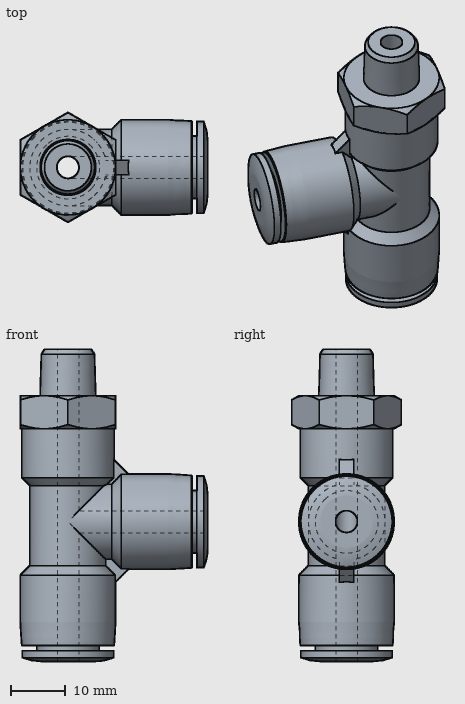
import cadquery as cq
import math

neck_diameter = 14.0
bore_diameter = 4.0

leg_diameter = 17.5
leg_rim_diameter = 17.0
leg_start = 9.8
leg_taper_start = 18.4
leg_rim_start = 21.35
leg_end = 22.75
leg_edge_chamfer = 0.2
leg_length = 25.6
release_neck_diameter = 11.5
release_diameter = 16.8
release_start = 23.6
release_rim_end = 24.9
release_face_diameter = 9.55

collar_diameter = 17.0
collar_bottom = 8.05
hex_corners = 20.15
hex_flats = hex_corners * math.cos(math.pi / 6)
hex_bottom = 17.0
hex_top = 23.05
hex_chamfer_angle = math.radians(30)
stem_base_diameter = 10.25
stem_tip_diameter = 9.8
stem_chamfer_height = 0.9
stem_face_diameter = 8.6
stem_top = 57.2 - leg_length

web_thickness = 2.65
web_reach = 19.8


def push_in_leg():
    """Leg from the crossing upward along +Z, revolved about Z."""
    neck_radius = neck_diameter / 2
    leg_radius = leg_diameter / 2
    rim_radius = leg_rim_diameter / 2
    release_radius = release_diameter / 2
    face_radius = release_face_diameter / 2
    dome_width = release_radius - face_radius
    dome_height = leg_length - release_rim_end
    dome_radius = (dome_width**2 + dome_height**2) / (2 * dome_height)
    half_angle = math.asin(dome_width / dome_radius) / 2
    dome_middle = (
        face_radius + dome_radius * math.sin(half_angle),
        leg_length - dome_radius * (1 - math.cos(half_angle)),
    )
    return (
        cq.Workplane("XZ")
        .lineTo(neck_radius, 0)
        .lineTo(neck_radius, leg_start - (leg_radius - neck_radius))
        .lineTo(leg_radius, leg_start)
        .lineTo(leg_radius, leg_taper_start)
        .lineTo(rim_radius + leg_edge_chamfer / 2, leg_rim_start)
        .lineTo(rim_radius, leg_end - leg_edge_chamfer)
        .lineTo(rim_radius - leg_edge_chamfer, leg_end)
        .lineTo(release_neck_diameter / 2, leg_end)
        .lineTo(release_neck_diameter / 2, release_start)
        .lineTo(release_radius, release_start)
        .lineTo(release_radius, release_rim_end)
        .threePointArc(dome_middle, (face_radius, leg_length))
        .lineTo(0, leg_length)
        .close()
        .revolve(360, (0, 0, 0), (0, 1, 0))
    )


def upper_run():
    """Neck, collar and tapered stem, revolved about Z."""
    neck_radius = neck_diameter / 2
    collar_radius = collar_diameter / 2
    return (
        cq.Workplane("XZ")
        .lineTo(neck_radius, 0)
        .lineTo(neck_radius, collar_bottom - (collar_radius - neck_radius))
        .lineTo(collar_radius, collar_bottom)
        .lineTo(collar_radius, hex_top)
        .lineTo(stem_base_diameter / 2, hex_top)
        .lineTo(stem_tip_diameter / 2, stem_top - stem_chamfer_height)
        .lineTo(stem_face_diameter / 2, stem_top)
        .lineTo(0, stem_top)
        .close()
        .revolve(360, (0, 0, 0), (0, 1, 0))
    )


def hexagon():
    """Hexagon with corners on Y, its corners chamfered at both ends."""
    flat_radius = hex_flats / 2
    corner_radius = hex_corners / 2
    corner_drop = (corner_radius - flat_radius) * math.tan(hex_chamfer_angle)
    prism = (
        cq.Workplane("XY", origin=(0, 0, hex_bottom))
        .polygon(6, hex_corners)
        .extrude(hex_top - hex_bottom)
        .rotate((0, 0, 0), (0, 0, 1), 30)
    )
    envelope = (
        cq.Workplane("XZ")
        .moveTo(0, hex_bottom)
        .lineTo(flat_radius, hex_bottom)
        .lineTo(corner_radius, hex_bottom + corner_drop)
        .lineTo(corner_radius, hex_top - corner_drop)
        .lineTo(flat_radius, hex_top)
        .lineTo(0, hex_top)
        .close()
        .revolve(360, (0, 0, 0), (0, 1, 0))
    )
    return prism.intersect(envelope)


def webs():
    return (
        cq.Workplane("XZ")
        .polyline([(0, -web_reach), (web_reach, 0), (0, web_reach)])
        .close()
        .extrude(web_thickness / 2, both=True)
    )


lower_leg = push_in_leg().rotate((0, 0, 0), (1, 0, 0), 180)
branch_leg = push_in_leg().rotate((0, 0, 0), (0, 1, 0), 90)
body = upper_run().union(lower_leg).union(branch_leg).union(hexagon()).union(webs())

bore_radius = bore_diameter / 2
run_bore = cq.Workplane("XY", origin=(0, 0, -leg_length)).circle(bore_radius).extrude(leg_length + stem_top)
branch_bore = cq.Workplane("YZ").circle(bore_radius).extrude(leg_length)
result = body.cut(run_bore).cut(branch_bore)